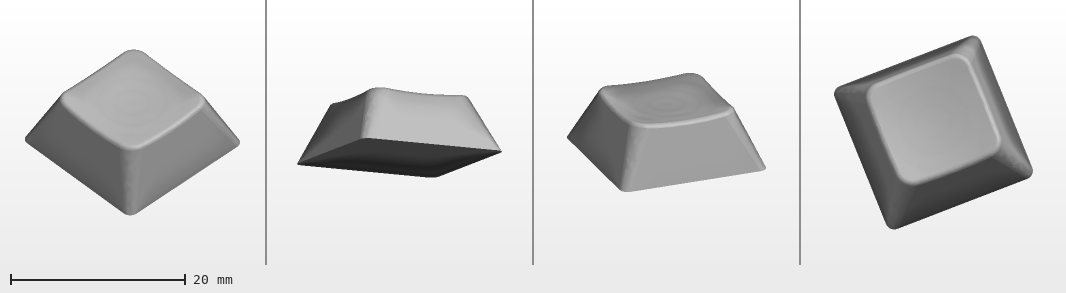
import cadquery as cq

base_side = 18.0
base_corner_radius = 1.0
blank_height = 7.5
blank_top_side = 12.0
blank_top_corner_radius = 2 * base_corner_radius

dish_radius = 39.96
dish_floor_height = 6.0

rim_radius = 0.6


def rounded_square(side, corner_radius):
    return cq.Sketch().rect(side, side).vertices().fillet(corner_radius)


def tapered_blank():
    base = rounded_square(base_side, base_corner_radius)
    top = rounded_square(blank_top_side, blank_top_corner_radius)
    raised_top = top.moved(cq.Location(cq.Vector(0, 0, blank_height)))
    return cq.Workplane("XY").placeSketch(base, raised_top).loft()


def dish_ball():
    ball_center_height = dish_floor_height + dish_radius
    return cq.Workplane("XY").sphere(dish_radius).translate((0, 0, ball_center_height))


dished_blank = tapered_blank().cut(dish_ball())
result = dished_blank.faces("%SPHERE").edges().fillet(rim_radius)